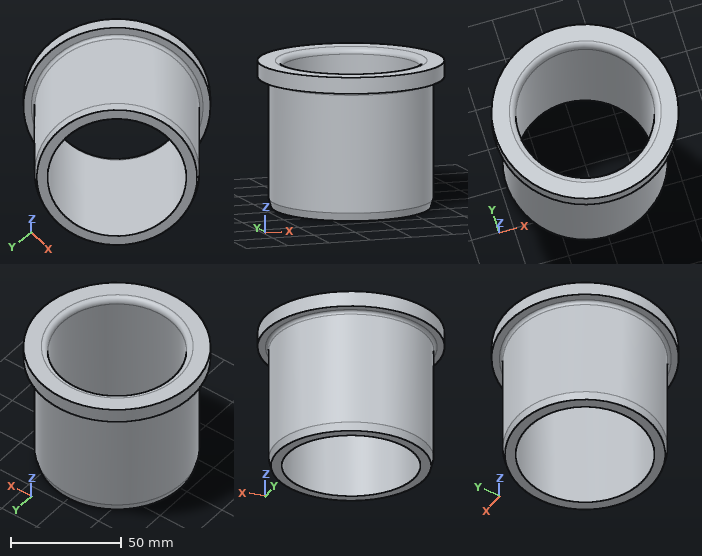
import cadquery as cq

flange_diameter = 85.0
body_diameter = 75.0
bore_diameter = 63.0
total_height = 67.5
flange_thickness = 7.5
neck_fillet = 1.5
mouth_radius = 3.0
lead_in_height = 4.0
lead_in_inset = 1.1

body_height = total_height - flange_thickness
body = cq.Workplane("XY").circle(body_diameter / 2).extrude(body_height)
body = body.faces("<Z").chamfer(lead_in_height, lead_in_inset)
flange = (
    cq.Workplane("XY")
    .workplane(offset=body_height)
    .circle(flange_diameter / 2)
    .extrude(flange_thickness)
)
result = body.union(flange)

neck_corner = cq.selectors.BoxSelector(
    (-body_diameter, -body_diameter, body_height - neck_fillet / 2),
    (body_diameter, body_diameter, body_height + neck_fillet / 2),
)
result = result.edges(neck_corner).edges(cq.selectors.RadiusNthSelector(0)).fillet(neck_fillet)

result = result.faces(">Z").workplane().hole(bore_diameter)
result = result.faces(">Z").edges(cq.selectors.RadiusNthSelector(0)).fillet(mouth_radius)